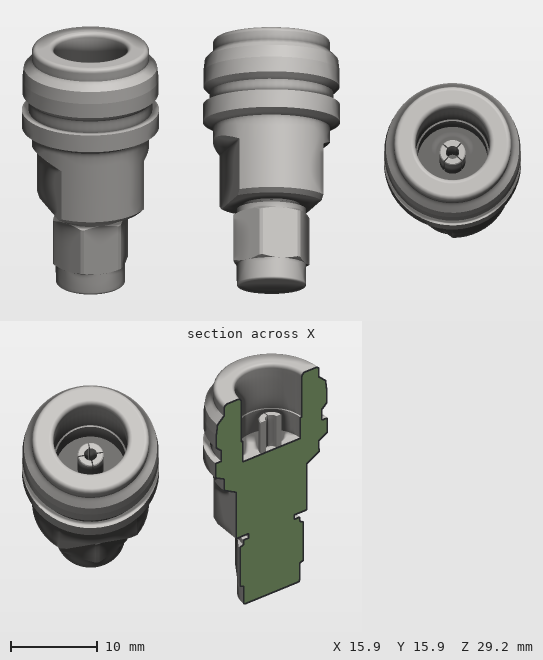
import cadquery as cq

total_height = 29.25
flange_radius = 7.93

collar_radius = 6.75
rim_fillet = 0.53
collar_bottom_z = 27.73
taper_top_z = 26.82
taper_top_radius = 7.7
band_top_z = 25.4
band_bottom_z = 23.63
band_radius = 7.87
groove_top_z = 22.93
groove_radius = 7.15
flange_top_z = 21.5
flange_bottom_z = 19.42

body_radius = collar_radius
body_top_z = 18.78
body_bottom_z = 9.68
body_chamfer = 0.53
flats_width = 10.0
ramp_top_z = 17.2
ramp_bottom_z = 16.2

neck_radius = 3.25
neck_lip_radius = 3.28
neck_lip_height = 0.18

nut_radius = 4.0
nut_top_z = 9.13
nut_fillet = 0.25
hex_across_flats = 2 * nut_radius
hex_corner_radius = 4.5
hex_top_z = 8.5
hex_bottom_z = 2.55
hex_chamfer_height = 0.25

bore_radius = 4.27
mouth_fillet = 0.53
ledge_z = 23.1
inner_bore_radius = 4.07
socket_floor_z = 20.18
contact_radius = 1.5
contact_top_z = 24.57
contact_chamfer = 0.12
contact_hole_radius = 0.75
slot_width = 0.15


def cylinder(radius, bottom_z, top_z):
    """Solid cylinder on the Z axis between two heights."""
    return cq.Workplane("XY").workplane(offset=bottom_z).circle(radius).extrude(top_z - bottom_z)


def revolve_profile(points):
    """Solid of revolution about Z from (radius, z) points, closed along the axis."""
    bottom_z = points[0][1]
    top_z = points[-1][1]
    outline = [(0, bottom_z)] + points + [(0, top_z)]
    return cq.Workplane("XZ").polyline(outline).close().revolve(360, (0, 0, 0), (0, 1, 0))


def make_body():
    """Turned body with its stepped socket end and rounded rim."""
    body = revolve_profile([
        (body_radius - body_chamfer, body_bottom_z),
        (body_radius, body_bottom_z + body_chamfer),
        (body_radius, body_top_z),
        (flange_radius, flange_bottom_z),
        (flange_radius, flange_top_z),
        (groove_radius, flange_top_z),
        (groove_radius, groove_top_z),
        (band_radius, band_bottom_z),
        (band_radius, band_top_z),
        (taper_top_radius, taper_top_z),
        (collar_radius, collar_bottom_z),
        (collar_radius, total_height),
    ])
    return body.faces(">Z").edges().fillet(rim_fillet)


def make_flat_cut(side):
    """Cutter for one wrench flat, on the -Y (side = -1) or +Y (side = 1) side."""
    inner_y = side * flats_width / 2
    outer_y = side * body_radius
    profile = [
        (inner_y, body_bottom_z),
        (inner_y, ramp_bottom_z),
        (outer_y, ramp_top_z),
        (outer_y, body_bottom_z),
    ]
    return cq.Workplane("YZ").polyline(profile).close().extrude(body_radius, both=True)


def make_neck():
    """Neck with a slightly wider lip under the body."""
    lip = cylinder(neck_lip_radius, body_bottom_z - neck_lip_height, body_bottom_z)
    return cylinder(neck_radius, nut_top_z, body_bottom_z).union(lip)


def make_nut():
    """Round coupling nut with a hexagonal grip whose corners are turned down."""
    barrel = cylinder(nut_radius, 0, nut_top_z).faces("<Z").edges().fillet(nut_fillet)
    hex_prism = (
        cq.Workplane("XY").workplane(offset=hex_bottom_z)
        .polygon(6, hex_across_flats, circumscribed=True)
        .extrude(hex_top_z - hex_bottom_z)
    )
    corner_envelope = revolve_profile([
        (nut_radius, hex_bottom_z),
        (hex_corner_radius, hex_bottom_z + hex_chamfer_height),
        (hex_corner_radius, hex_top_z - hex_chamfer_height),
        (nut_radius, hex_top_z),
    ])
    return barrel.union(hex_prism.intersect(corner_envelope))


def make_socket_bore():
    """Cutter for the bore, stepped in at a ledge above the floor."""
    return cylinder(inner_bore_radius, socket_floor_z, ledge_z).union(
        cylinder(bore_radius, ledge_z, total_height))


def make_contact():
    """Centre contact: a tube split into four fingers by crossed slots."""
    height = contact_top_z - socket_floor_z
    contact = cylinder(contact_radius, socket_floor_z, contact_top_z)
    contact = contact.faces(">Z").edges().chamfer(contact_chamfer)
    contact = contact.cut(cylinder(contact_hole_radius, socket_floor_z, contact_top_z))
    for angle in (0, 90):
        slot = cq.Workplane("XY").box(2 * contact_radius, slot_width, height, centered=(True, True, False))
        slot = slot.translate((0, 0, socket_floor_z)).rotate((0, 0, 0), (0, 0, 1), angle)
        contact = contact.cut(slot)
    return contact


body = make_body()
for side in (-1, 1):
    body = body.cut(make_flat_cut(side))

body = body.cut(make_socket_bore())
body = body.faces(">Z").edges(cq.selectors.RadiusNthSelector(0)).fillet(mouth_fillet)

result = body.union(make_contact()).union(make_neck()).union(make_nut())